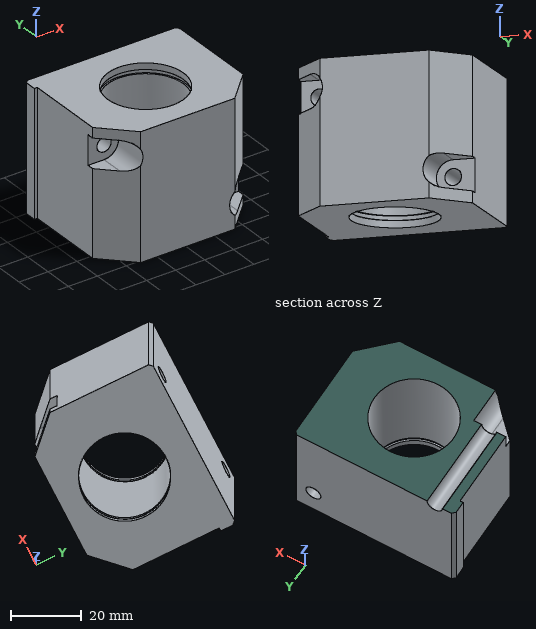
import cadquery as cq

width = 53.0
depth = 42.0
height = 43.0
rib_projection = 1.0
rib_length = 5.0
rear_chamfer = 1.0
front_chamfer = 9.75

bore_x = width / 2
bore_y = 20.0
bore_diameter = 26.0
groove_diameter = 27.2
groove_width = 1.4
groove_inset = 2.15

hole_diameter = 4.95
hole_offset_x = 20.0
hole_end_distance = 8.5
pocket_width = 10.0
pocket_depth = 12.0


def make_block():
    outline = [
        (rib_projection + front_chamfer, 0),
        (width - front_chamfer, 0),
        (width, front_chamfer),
        (width, depth - rear_chamfer),
        (width - rear_chamfer, depth),
        (rear_chamfer, depth),
        (0, depth - rear_chamfer),
        (0, depth - rib_length),
        (rib_projection, depth - rib_length),
        (rib_projection, front_chamfer),
    ]
    return cq.Workplane("XY").polyline(outline).close().extrude(height)


def vertical_cylinder(diameter, bottom, length):
    return (
        cq.Workplane("XY", origin=(bore_x, bore_y, bottom))
        .circle(diameter / 2)
        .extrude(length)
    )


def make_bore():
    bore = vertical_cylinder(bore_diameter, 0, height)
    for groove_bottom in (groove_inset, height - groove_inset - groove_width):
        bore = bore.union(vertical_cylinder(groove_diameter, groove_bottom, groove_width))
    return bore


def make_mounting_cut(side, z):
    """Through hole and round-ended pocket that runs out of the block on the given side (-1 or +1)."""
    x = bore_x + side * hole_offset_x
    front = cq.Workplane("XZ", origin=(x, 0, z))
    hole = front.circle(hole_diameter / 2).extrude(-depth)
    round_end = front.circle(pocket_width / 2).extrude(-pocket_depth)
    open_end = (
        front.center(side * pocket_width / 2, 0)
        .rect(pocket_width, pocket_width)
        .extrude(-pocket_depth)
    )
    return hole.union(round_end).union(open_end)


result = make_block().cut(make_bore())
for side, z in ((-1, height - hole_end_distance), (1, hole_end_distance)):
    result = result.cut(make_mounting_cut(side, z))